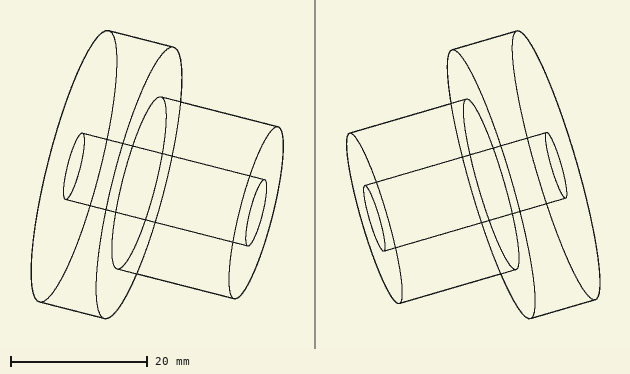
import cadquery as cq

flange_diameter = 41.0
flange_thickness = 10.0
hub_diameter = 26.0
bore_diameter = 10.0
total_length = 28.0

hub_length = total_length - flange_thickness

flange = cq.Workplane("YZ").circle(flange_diameter / 2).extrude(flange_thickness)

flanged_hub = flange.faces(">X").workplane().circle(hub_diameter / 2).extrude(hub_length)

bore = cq.Workplane("YZ").circle(bore_diameter / 2).extrude(total_length)

result = flanged_hub.cut(bore)